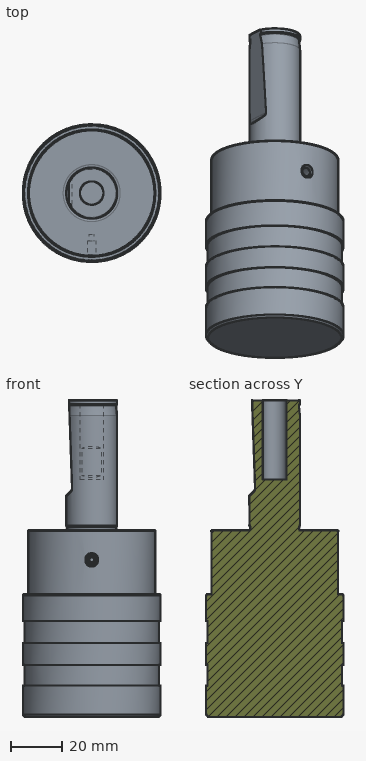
import cadquery as cq
import math

total_length = 124.0

ring_diameter = 54.0
ring_radius = ring_diameter / 2
band_radius = 26.4
sleeve_height = 48.1
sleeve_bands = [(12.3, 20.5), (29.0, 37.6)]
sleeve_top_chamfer = 0.5
base_chamfer_height = 1.0
base_chamfer_width = 0.9

body_radius = 24.9
body_top = 73.2
body_chamfer = 0.4

shank_diameter = 20.0
shank_radius = shank_diameter / 2
bore_radius = 4.6
bore_depth = 31.0

relief_depth = 0.31
relief_top = body_top + 1.9
relief_neck_top = body_top + 1.1
relief_fillet = 0.6
relief_face_depth = 0.1
relief_outer_radius = 11.2

rim_round = 0.5
rim_bottom = total_length - 1.6
groove_depth = 0.4
groove_top = rim_bottom - groove_depth
groove_bottom = total_length - 2.5
groove_taper_end = total_length - 6.1

flat_angle = 2.0
flat_end_z = 88.8
flat_end_x = -7.7
ramp_angle = 45.0
flat_fillet = 1.5

back_flat_bottom = 93.7
back_flat_top = 105.9
back_flat_depth = 0.7

screw_z = 61.5
screw_mouth_radius = 2.6
screw_radius = 1.7
screw_depth = 6.2
screw_tip_radius = 1.0
screw_tip_depth = 8.7

cut_margin = 6.2


def turned_blank():
    """Revolve the half profile of sleeve, body and shank about Z."""
    neck_radius = shank_radius - relief_depth
    fillet_center_r = neck_radius + relief_fillet
    fillet_center_z = body_top - relief_face_depth + relief_fillet
    groove_radius = shank_radius - groove_depth

    profile = (
        cq.Workplane("XZ")
        .moveTo(0, 0)
        .lineTo(ring_radius - base_chamfer_width, 0)
        .lineTo(ring_radius, base_chamfer_height)
    )
    for band_bottom, band_top in sleeve_bands:
        profile = (
            profile.lineTo(ring_radius, band_bottom)
            .lineTo(band_radius, band_bottom)
            .lineTo(band_radius, band_top)
            .lineTo(ring_radius, band_top)
        )
    profile = (
        profile.lineTo(ring_radius, sleeve_height - sleeve_top_chamfer)
        .lineTo(ring_radius - sleeve_top_chamfer, sleeve_height)
        .lineTo(body_radius, sleeve_height)
        .lineTo(body_radius, body_top - body_chamfer)
        .lineTo(body_radius - body_chamfer, body_top)
        .lineTo(relief_outer_radius, body_top)
        .lineTo(fillet_center_r, body_top - relief_face_depth)
        .radiusArc((neck_radius, fillet_center_z), relief_fillet)
        .lineTo(neck_radius, relief_neck_top)
        .lineTo(shank_radius, relief_top)
        .lineTo(shank_radius, groove_taper_end)
        .lineTo(groove_radius, groove_bottom)
        .lineTo(groove_radius, groove_top)
        .lineTo(shank_radius, rim_bottom)
        .lineTo(shank_radius, total_length - rim_round)
        .radiusArc((shank_radius - rim_round, total_length), -rim_round)
        .lineTo(0, total_length)
        .close()
    )
    return profile.revolve(360, (0, 0, 0), (0, 1, 0))


def shank_bore():
    return (
        cq.Workplane("XY", origin=(0, 0, total_length - bore_depth))
        .circle(bore_radius)
        .extrude(bore_depth)
    )


def clamping_flat():
    """Wedge that leaves the tilted flat, a rounded corner and a ramp out."""
    outer_x = -shank_radius - cut_margin
    cut_top = total_length + cut_margin
    flat_top_x = flat_end_x - (cut_top - flat_end_z) * math.tan(math.radians(flat_angle))
    ramp_bottom_z = flat_end_z - (flat_end_x - outer_x) * math.tan(math.radians(ramp_angle))
    return (
        cq.Workplane("XZ", origin=(0, shank_radius, 0))
        .moveTo(flat_top_x, cut_top)
        .lineTo(flat_end_x, flat_end_z)
        .lineTo(outer_x, ramp_bottom_z)
        .lineTo(outer_x, cut_top)
        .close()
        .extrude(2 * shank_radius)
        .edges(cq.selectors.NearestToPointSelector((flat_end_x, 0, flat_end_z)))
        .fillet(flat_fillet)
    )


def back_flat():
    """Shallow flat with 45 degree ends across the +Y side of the shank."""
    floor_y = shank_radius - back_flat_depth
    outer_y = shank_radius + cut_margin
    end_run = back_flat_depth + cut_margin
    return (
        cq.Workplane("YZ", origin=(-shank_radius, 0, 0))
        .moveTo(floor_y, back_flat_bottom + back_flat_depth)
        .lineTo(outer_y, back_flat_bottom + back_flat_depth - end_run)
        .lineTo(outer_y, back_flat_top - back_flat_depth + end_run)
        .lineTo(floor_y, back_flat_top - back_flat_depth)
        .close()
        .extrude(2 * shank_radius)
    )


def screw_hole():
    """Countersunk radial hole with a narrower tip, revolved about its own axis."""
    mouth_y = -body_radius
    countersink_y = mouth_y + screw_mouth_radius - screw_radius
    return (
        cq.Workplane("XY", origin=(0, 0, screw_z))
        .moveTo(0, mouth_y - cut_margin)
        .lineTo(screw_mouth_radius, mouth_y - cut_margin)
        .lineTo(screw_mouth_radius, mouth_y)
        .lineTo(screw_radius, countersink_y)
        .lineTo(screw_radius, mouth_y + screw_depth)
        .lineTo(screw_tip_radius, mouth_y + screw_depth)
        .lineTo(screw_tip_radius, mouth_y + screw_tip_depth)
        .lineTo(0, mouth_y + screw_tip_depth)
        .close()
        .revolve(360, (0, 0, 0), (0, 1, 0))
    )


result = (
    turned_blank()
    .cut(shank_bore())
    .cut(clamping_flat())
    .cut(back_flat())
    .cut(screw_hole())
)